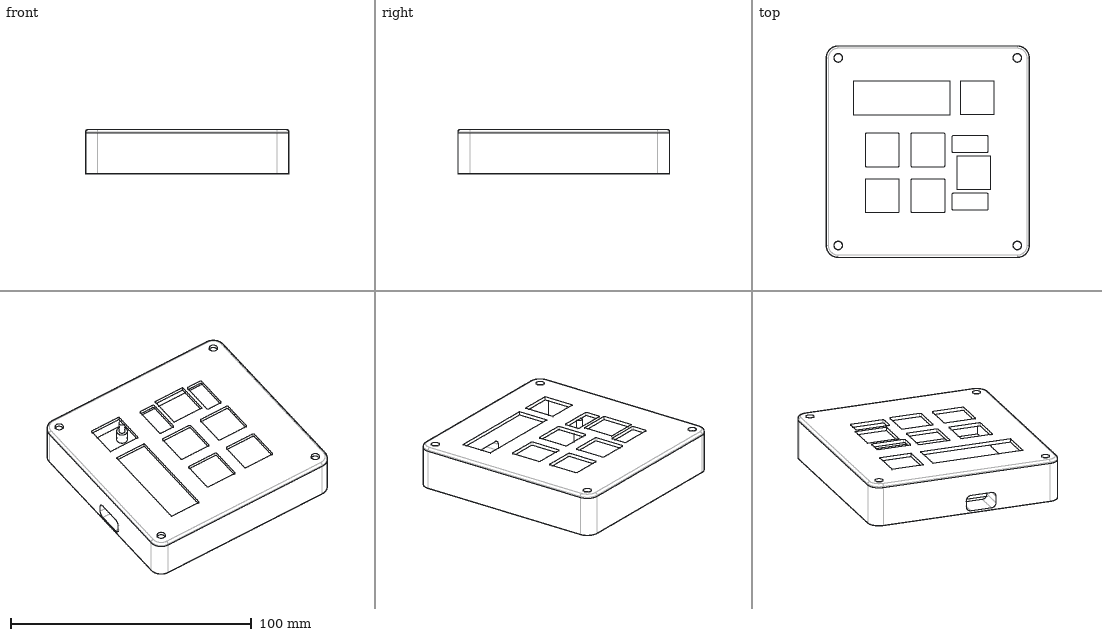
import cadquery as cq

LENGTH_X = 84.5
LENGTH_Y = 88.0
HEIGHT = 18.5
CORNER_RADIUS = 5.0

COVER_THICKNESS = 1.5
COVER_EDGE_RADIUS = 1.0
CASE_HEIGHT = HEIGHT - COVER_THICKNESS

SCREW_DIAMETER = 3.4
SCREW_SPACING_X = LENGTH_X - 2 * CORNER_RADIUS
SCREW_SPACING_Y = LENGTH_Y - 2 * CORNER_RADIUS

FLOOR_THICKNESS = 2.0
SIDE_WALL = 6.7
END_WALL = 10.4
CAVITY_X = LENGTH_X - 2 * SIDE_WALL
CAVITY_Y = LENGTH_Y - 2 * END_WALL

BOSS_DIAMETER = 4.5
BOSS_HEIGHT = 5.0
PIN_DIAMETER = 2.5
PIN_HEIGHT = 5.0
POST_X = 28.95
POST_Y = 12.9

SLOT_WIDTH = 13.2
SLOT_HEIGHT = 6.9
SLOT_CORNER_RADIUS = 2.0
SLOT_X = -6.5
SLOT_Z = 4.4

DISPLAY_CENTRE = (-10.8, 22.35)
DISPLAY_SIZE = (40.1, 14.0)
SQUARE_SIZE = 14.0
UPPER_SQUARE_CENTRE = (20.6, 22.4)
LOWER_SQUARE_CENTRE = (19.2, -8.8)
SMALL_WINDOW_SIZE = (15.0, 7.0)
SMALL_WINDOW_X = 17.6
SMALL_WINDOW_OFFSET_Y = 12.0

KEY_SIZE = 14.1
KEY_PITCH = 19.0
KEY_CENTRE = (-9.4, -8.8)
WINDOW_CORNER_RADIUS = 0.5


def rounded_block(height, bottom):
    block = cq.Workplane("XY").workplane(offset=bottom).rect(LENGTH_X, LENGTH_Y).extrude(height)
    return block.edges("|Z").fillet(CORNER_RADIUS)


def drill_screw_holes(body):
    holes = (
        cq.Workplane("XY")
        .rect(SCREW_SPACING_X, SCREW_SPACING_Y, forConstruction=True)
        .vertices()
        .circle(SCREW_DIAMETER / 2)
        .extrude(HEIGHT)
    )
    return body.cut(holes)


def stepped_post():
    boss = cq.Workplane("XY").circle(BOSS_DIAMETER / 2).extrude(BOSS_HEIGHT)
    post = boss.faces(">Z").workplane().circle(PIN_DIAMETER / 2).extrude(PIN_HEIGHT)
    return post.translate((POST_X, POST_Y, FLOOR_THICKNESS))


def cable_slot():
    slot = cq.Workplane("XY").box(SLOT_WIDTH, END_WALL, SLOT_HEIGHT).edges("|Y").fillet(SLOT_CORNER_RADIUS)
    return slot.translate((SLOT_X, (CAVITY_Y + END_WALL) / 2, SLOT_Z))


def make_case():
    cavity = (
        cq.Workplane("XY")
        .workplane(offset=FLOOR_THICKNESS)
        .rect(CAVITY_X, CAVITY_Y)
        .extrude(CASE_HEIGHT - FLOOR_THICKNESS)
    )
    case = rounded_block(CASE_HEIGHT, 0).cut(cavity).cut(cable_slot()).union(stepped_post())
    return drill_screw_holes(case)


def window(centre, size, corner_radius=0):
    opening = (
        cq.Workplane("XY")
        .workplane(offset=CASE_HEIGHT)
        .center(*centre)
        .rect(*size)
        .extrude(COVER_THICKNESS)
    )
    if corner_radius > 0:
        opening = opening.edges("|Z").fillet(corner_radius)
    return opening


def make_cover():
    cover = rounded_block(COVER_THICKNESS, CASE_HEIGHT).faces(">Z").edges().fillet(COVER_EDGE_RADIUS)
    cover = cover.cut(window(DISPLAY_CENTRE, DISPLAY_SIZE))
    for centre in (UPPER_SQUARE_CENTRE, LOWER_SQUARE_CENTRE):
        cover = cover.cut(window(centre, (SQUARE_SIZE, SQUARE_SIZE)))
    for side in (-1, 1):
        centre = (SMALL_WINDOW_X, LOWER_SQUARE_CENTRE[1] + side * SMALL_WINDOW_OFFSET_Y)
        cover = cover.cut(window(centre, SMALL_WINDOW_SIZE, WINDOW_CORNER_RADIUS))
    for column in (-0.5, 0.5):
        for row in (-0.5, 0.5):
            centre = (KEY_CENTRE[0] + column * KEY_PITCH, KEY_CENTRE[1] + row * KEY_PITCH)
            cover = cover.cut(window(centre, (KEY_SIZE, KEY_SIZE), WINDOW_CORNER_RADIUS))
    return drill_screw_holes(cover)


case = make_case()
cover = make_cover()

result = cq.Compound.makeCompound([case.val(), cover.val()])